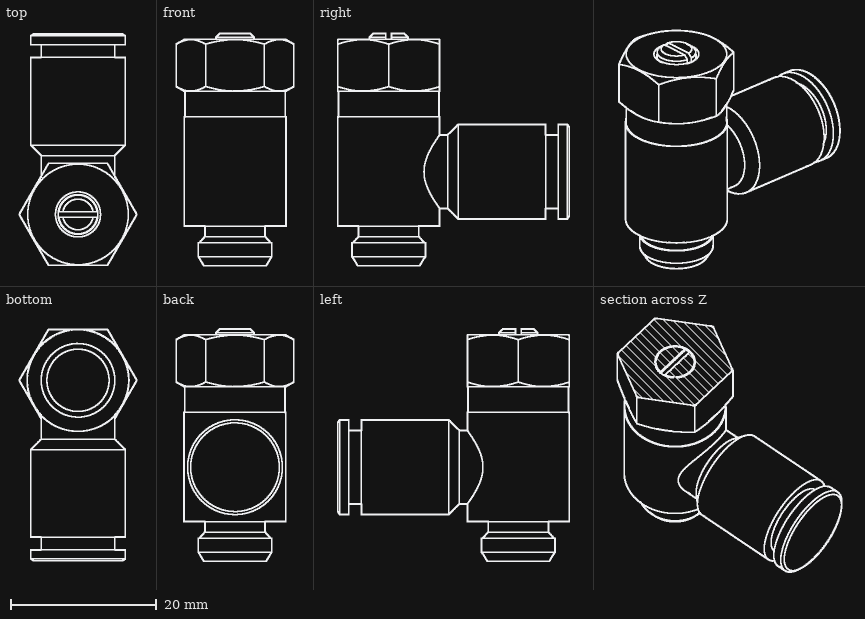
import cadquery as cq
import math


sleeve_dia = 14.0
sleeve_bottom = 5.45
sleeve_top = 20.45
branch_z = 12.92
neck_dia = 10.1
branch_dia = 13.0
neck_end = 8.07
cone_end = neck_end + (branch_dia - neck_dia) / 2
barrel_end = 21.53
release_groove_dia = neck_dia
release_ring_start = 23.25
branch_end = 24.8
release_ring_bevel = 0.3
release_ring_face_dia = 12.2

shank_dia = 8.3
tip_dia = 10.1
tip_shoulder_dia = 9.8
tip_cone_top = 4.02
tip_cone_bottom = 3.2
tip_bevel_height = 1.28
tip_face_dia = 8.55
collar_dia = 13.8
head_bottom = 23.92
head_top = 31.1
head_flats = sleeve_dia
head_corners = head_flats / math.cos(math.pi / 6)
head_face_dia = collar_dia
head_chamfer_angle = math.radians(30)
screw_dia = 5.33
screw_face_dia = 4.2
screw_hole_dia = 5.45
screw_top = 31.9
screw_bevel_start = 31.4
slot_width = 0.75
countersink_dia = 6.2
countersink_depth = (countersink_dia - screw_hole_dia) / 2
slot_depth_in_head = 0.85
slot_bottom = head_top - slot_depth_in_head


def revolve_about_z(outline):
    """Revolve a closed outline of (radius, z) points about the Z axis."""
    return cq.Workplane("XZ").polyline(outline).close().revolve(360, (0, 0), (0, 1))


def make_branch():
    """Branch along +Y, starting on the sleeve axis."""
    outline = [
        (0, 0),
        (neck_dia / 2, 0),
        (neck_dia / 2, neck_end),
        (branch_dia / 2, cone_end),
        (branch_dia / 2, barrel_end),
        (release_groove_dia / 2, barrel_end),
        (release_groove_dia / 2, release_ring_start),
        (branch_dia / 2, release_ring_start),
        (branch_dia / 2, branch_end - release_ring_bevel),
        (release_ring_face_dia / 2, branch_end),
        (0, branch_end),
    ]
    upright = revolve_about_z(outline)
    return upright.rotate((0, 0, 0), (1, 0, 0), -90).translate((0, 0, branch_z))


def make_elbow():
    """Sleeve and branch in one piece, bored through for the bolt shank."""
    height = sleeve_top - sleeve_bottom
    base = cq.Workplane("XY").workplane(offset=sleeve_bottom)
    sleeve = base.circle(sleeve_dia / 2).extrude(height)
    bore = base.circle(shank_dia / 2).extrude(height)
    return sleeve.union(make_branch()).cut(bore)


def make_shank():
    """Sealing tip, shank inside the sleeve, and collar under the head."""
    return revolve_about_z([
        (0, 0),
        (tip_face_dia / 2, 0),
        (tip_dia / 2, tip_bevel_height),
        (tip_dia / 2, tip_cone_bottom),
        (tip_shoulder_dia / 2, tip_cone_bottom),
        (shank_dia / 2, tip_cone_top),
        (shank_dia / 2, sleeve_top),
        (collar_dia / 2, sleeve_top),
        (collar_dia / 2, head_bottom),
        (0, head_bottom),
    ])


def make_head():
    """Hexagon with corners on the X axis, chamfered at both ends, with a countersunk screw hole."""
    hexagon = (
        cq.Workplane("XY")
        .workplane(offset=head_bottom)
        .polygon(6, head_corners)
        .extrude(head_top - head_bottom)
    )
    face_radius = head_face_dia / 2
    rim_radius = head_corners / 2
    drop = (rim_radius - face_radius) * math.tan(head_chamfer_angle)
    chamfer_envelope = revolve_about_z([
        (0, head_bottom),
        (face_radius, head_bottom),
        (rim_radius, head_bottom + drop),
        (rim_radius, head_top - drop),
        (face_radius, head_top),
        (0, head_top),
    ])
    screw_hole = revolve_about_z([
        (0, slot_bottom),
        (screw_hole_dia / 2, slot_bottom),
        (screw_hole_dia / 2, head_top - countersink_depth),
        (countersink_dia / 2, head_top),
        (0, head_top),
    ])
    return hexagon.intersect(chamfer_envelope).cut(screw_hole)


def make_screw_end():
    """Bevelled, slotted screw end standing in the screw hole with a narrow gap around it."""
    screw = revolve_about_z([
        (0, slot_bottom),
        (screw_dia / 2, slot_bottom),
        (screw_dia / 2, screw_bevel_start),
        (screw_face_dia / 2, screw_top),
        (0, screw_top),
    ])
    slot = (
        cq.Workplane("XY")
        .workplane(offset=slot_bottom)
        .rect(screw_dia, slot_width)
        .extrude(screw_top - slot_bottom)
    )
    return screw.cut(slot)


def make_bolt():
    return make_shank().union(make_head()).union(make_screw_end())


elbow = make_elbow()
bolt = make_bolt()

result = cq.Compound.makeCompound([elbow.val(), bolt.val()])